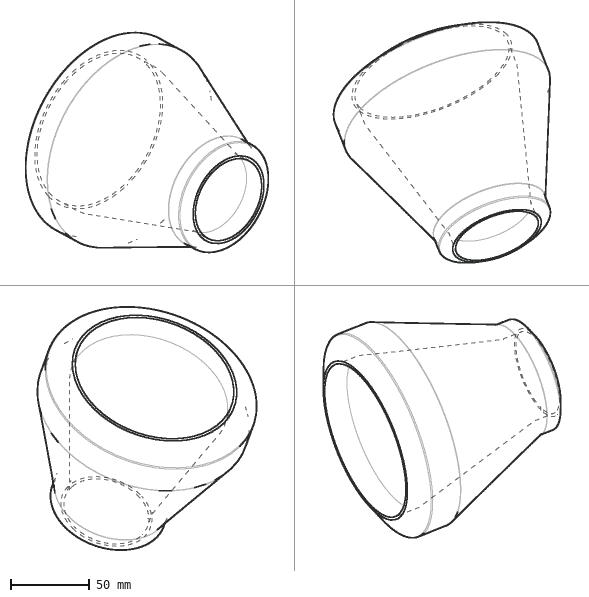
import cadquery as cq
import math

length = 127.0
large_radius = 139.7 / 2
large_bore_radius = 104.6 / 2
small_radius = 76.1 / 2
small_bore_radius = 56.2 / 2
large_end_length = 30.2
small_end_length = 15.0
large_bore_length = 16.2
root_face = 2.0
edge_radius = 1.0
bevel_angle = 30

cone_start = large_end_length
cone_end = length - small_end_length


def bevel_length(outer_radius, bore_radius):
    """Axial length of the weld bevel on one end."""
    bevel_height = outer_radius - bore_radius - root_face
    return bevel_height * math.tan(math.radians(bevel_angle))


large_bevel = bevel_length(large_radius, large_bore_radius)
small_bevel = bevel_length(small_radius, small_bore_radius)

def revolve_about_x(section):
    """Solid of revolution about X from (axial position, radius) points."""
    return cq.Workplane("XY").polyline(section).close().revolve(360, (0, 0, 0), (1, 0, 0))


def edges_at(axial_position):
    """Selector for the circular edge in the plane at one axial position."""
    tolerance = 0.01
    reach = large_radius + tolerance
    return cq.selectors.BoxSelector(
        (axial_position - tolerance, -reach, -reach),
        (axial_position + tolerance, reach, reach),
        boundingbox=True,
    )


outer_section = [
    (0, 0),
    (0, large_bore_radius + root_face),
    (large_bevel, large_radius),
    (cone_start, large_radius),
    (cone_end, small_radius),
    (length - small_bevel, small_radius),
    (length, small_bore_radius + root_face),
    (length, 0),
]
body = revolve_about_x(outer_section)

for axial_position in [large_bevel, cone_start, cone_end, length - small_bevel]:
    body = body.edges(edges_at(axial_position)).fillet(edge_radius)

bore_section = [
    (0, 0),
    (0, large_bore_radius),
    (large_bore_length, large_bore_radius),
    (cone_end, small_bore_radius),
    (length, small_bore_radius),
    (length, 0),
]
result = body.cut(revolve_about_x(bore_section))